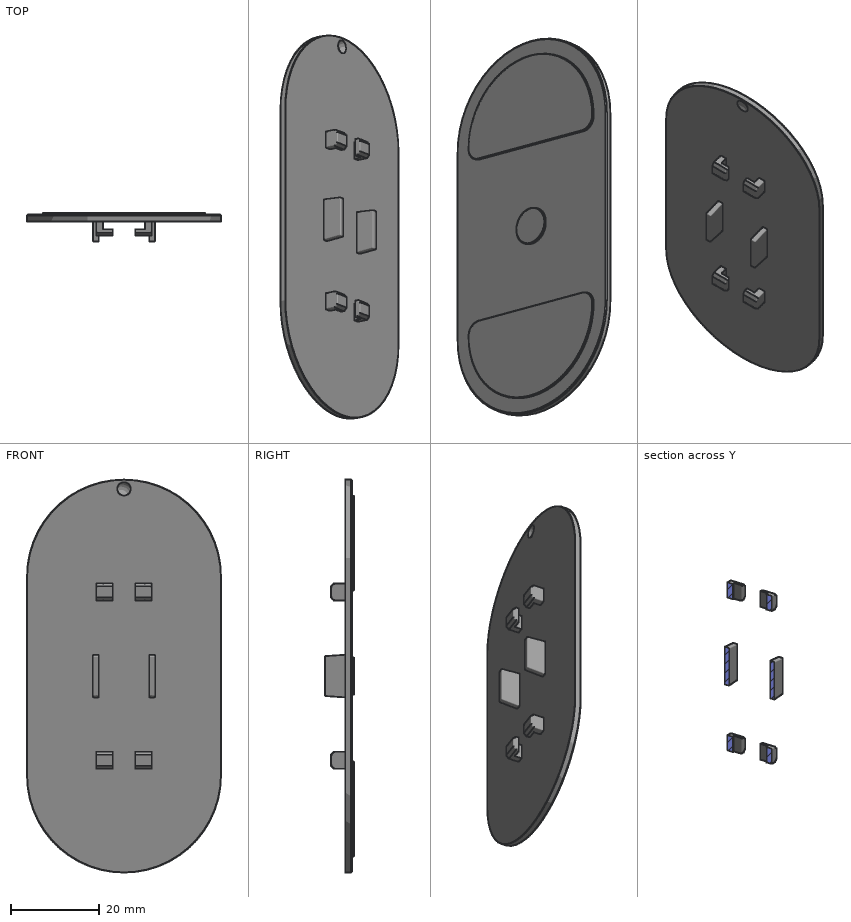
import cadquery as cq

LENGTH = 89.0
WIDTH = 44.0
PLATE_THICKNESS = 1.6
FRONT_EDGE_CHAMFER = 0.1
BACK_EDGE_CHAMFER = 0.3

DIMPLE_DIAMETER = 3.0
DIMPLE_DEPTH = 0.7
DIMPLE_EDGE_GAP = 0.6

HOOK_OUTER_X = 6.3
HOOK_LENGTH_X = 3.8
HOOK_STEM_WIDTH = 1.6
HOOK_REACH = 3.2
HOOK_GAP = 1.7
HOOK_HEIGHT = 3.9
HOOK_CHAMFER = 0.7
HOOK_FILLET = 0.3
HOOK_CENTRE_Z = 19.05

TAB_OUTER_X = 7.0
TAB_WIDTH = 1.3
TAB_BASE_HEIGHT = 9.7
TAB_TIP_HEIGHT = 9.1
TAB_REACH = 4.5
TAB_FILLET = 0.3

PAD_THICKNESS = 0.45
PAD_EDGE_MARGIN = 3.65
PAD_INNER_Z = 19.3
PAD_CORNER_RADIUS = 3.1
PAD_EDGE_CHAMFER = 0.2
CENTRE_PAD_RADIUS = 4.3

END_RADIUS = WIDTH / 2
END_CENTRE_Z = LENGTH / 2 - END_RADIUS
OVERLAP = PLATE_THICKNESS / 2


def front_plane(y):
    """Sketch plane at depth y, extruding toward -Y, with local axes along X and Z."""
    return cq.Workplane("XZ", origin=(0, y, 0))


def make_plate():
    outline = front_plane(PLATE_THICKNESS).slot2D(LENGTH, WIDTH, 90)
    plate = outline.extrude(PLATE_THICKNESS)
    plate = plate.faces("<Y").chamfer(FRONT_EDGE_CHAMFER)
    return plate.faces(">Y").chamfer(BACK_EDGE_CHAMFER)


def make_dimple():
    rim_radius = DIMPLE_DIAMETER / 2
    sphere_radius = (rim_radius**2 + DIMPLE_DEPTH**2) / (2 * DIMPLE_DEPTH)
    centre_z = LENGTH / 2 - DIMPLE_EDGE_GAP - rim_radius
    return cq.Workplane("XY").sphere(sphere_radius).translate((0, DIMPLE_DEPTH - sphere_radius, centre_z))


def make_hook(centre_z):
    """Hook on the -X side: a stem on the plate with a foot reaching toward +X."""
    left = -HOOK_OUTER_X
    stem_right = left + HOOK_STEM_WIDTH
    foot_right = left + HOOK_LENGTH_X
    profile = [
        (left, OVERLAP),
        (left, -HOOK_REACH),
        (foot_right, -HOOK_REACH),
        (foot_right, -HOOK_GAP),
        (stem_right, -HOOK_GAP),
        (stem_right, OVERLAP),
    ]
    base = cq.Workplane("XY", origin=(0, 0, centre_z))
    hook = base.polyline(profile).close().extrude(HOOK_HEIGHT / 2, both=True)
    hook = hook.faces("<Y").edges("|X").chamfer(HOOK_CHAMFER)
    return hook.faces("<X or >X").edges().fillet(HOOK_FILLET)


def make_tab():
    """Tab on the -X side, narrowing in height from the plate to its rounded tip."""
    profile = [
        (0, -TAB_BASE_HEIGHT / 2),
        (0, TAB_BASE_HEIGHT / 2),
        (-TAB_REACH, TAB_TIP_HEIGHT / 2),
        (-TAB_REACH, -TAB_TIP_HEIGHT / 2),
    ]
    side = cq.Workplane("YZ", origin=(-TAB_OUTER_X, 0, 0))
    tab = side.polyline(profile).close().extrude(TAB_WIDTH)
    return tab.edges("not >Y").fillet(TAB_FILLET)


def make_end_pad():
    """Upper back pad: follows the plate's rounded end and stops at a straight lower edge."""
    radius = END_RADIUS - PAD_EDGE_MARGIN
    outline = (
        front_plane(PLATE_THICKNESS + PAD_THICKNESS)
        .moveTo(-radius, PAD_INNER_Z)
        .lineTo(radius, PAD_INNER_Z)
        .lineTo(radius, END_CENTRE_Z)
        .threePointArc((0, END_CENTRE_Z + radius), (-radius, END_CENTRE_Z))
        .close()
    )
    pad = outline.extrude(PAD_THICKNESS).edges("|Y and <Z").fillet(PAD_CORNER_RADIUS)
    return pad.faces(">Y").chamfer(PAD_EDGE_CHAMFER)


def make_centre_pad():
    pad = front_plane(PLATE_THICKNESS + PAD_THICKNESS).circle(CENTRE_PAD_RADIUS).extrude(PAD_THICKNESS)
    return pad.faces(">Y").chamfer(PAD_EDGE_CHAMFER)


result = make_plate().cut(make_dimple())

for fitting in (make_hook(HOOK_CENTRE_Z), make_hook(-HOOK_CENTRE_Z), make_tab()):
    result = result.union(fitting).union(fitting.mirror("YZ"))

end_pad = make_end_pad()
for pad in (end_pad, end_pad.mirror("XY"), make_centre_pad()):
    result = result.union(pad)